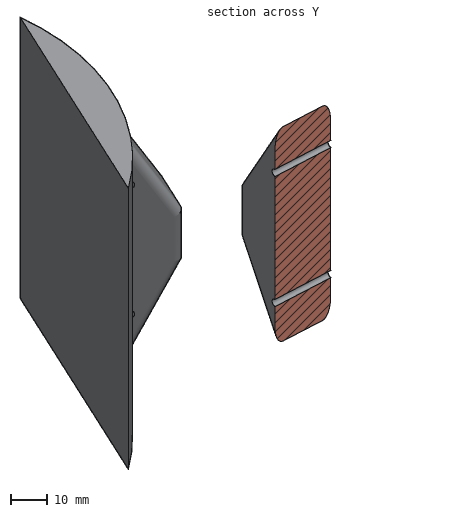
import cadquery as cq

plate_width = 80.2
plate_height = 100
plate_crown = 11.5

overall_depth = 28.8
handle_width = 20
handle_center_z = 1.2
handle_base_length = 80.4
handle_top_length = 17.2
edge_radius = 3

hole_diameter = 2.4
hole_spacing = 46
hole_y = 12.7


def make_plate():
    half_width = plate_width / 2
    return (
        cq.Workplane("XY", origin=(0, 0, -plate_height / 2))
        .moveTo(-half_width, 0)
        .threePointArc((0, plate_crown), (half_width, 0))
        .close()
        .extrude(plate_height)
    )


def make_handle():
    end_run = (handle_base_length - handle_top_length) / 2
    slope = end_run / (overall_depth - plate_crown)
    half_top = handle_top_length / 2
    half_root = half_top + slope * overall_depth
    block = (
        cq.Workplane("YZ", origin=(0, 0, handle_center_z))
        .polyline([
            (0, -half_root),
            (overall_depth, -half_top),
            (overall_depth, half_top),
            (0, half_root),
        ])
        .close()
        .extrude(handle_width / 2, both=True)
    )
    rounded = block.edges("(<X or >X) and (not <Y)").fillet(edge_radius)
    envelope = cq.Workplane("XY").box(plate_width, 2 * overall_depth, plate_height)
    return rounded.intersect(envelope)


def make_cross_holes():
    return (
        cq.Workplane("YZ", origin=(0, 0, handle_center_z))
        .pushPoints([(hole_y, -hole_spacing / 2), (hole_y, hole_spacing / 2)])
        .circle(hole_diameter / 2)
        .extrude(handle_width, both=True)
    )


result = make_plate().union(make_handle()).cut(make_cross_holes())